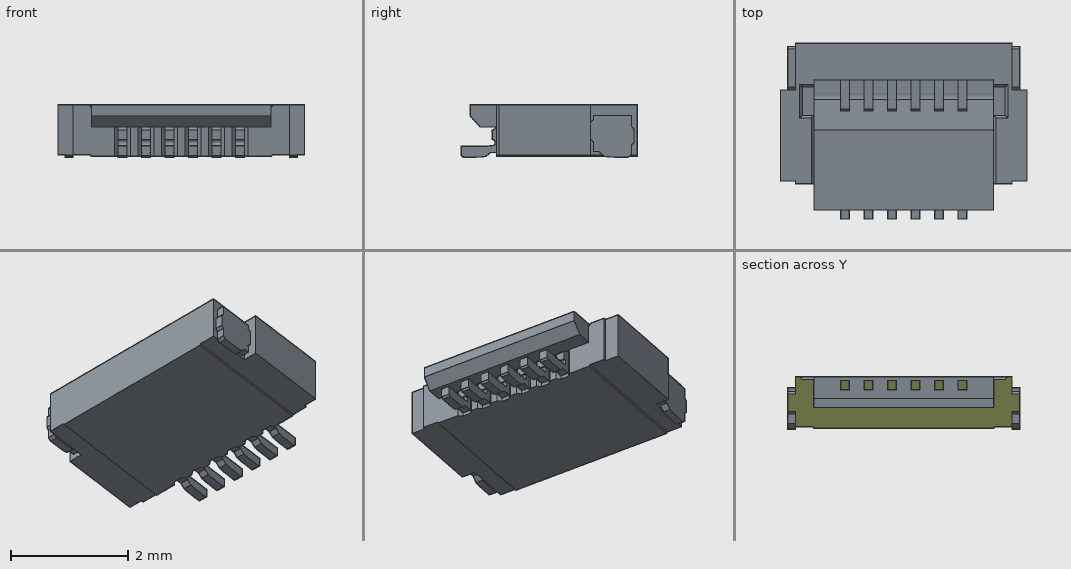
import cadquery as cq


overall_width = 4.2
overall_height = 0.9
overall_depth = 3.0
body_half_width = 1.845
body_depth = 2.4
body_bottom = 0.04
ear_start_depth = 0.8
ear_end_depth = 2.35
foot_bottom = 0.015
foot_half_width = 1.537
foot_flare = 0.015

flap_half_width = 1.53
flap_depth = 2.848
flap_thickness = 0.382
flap_nose_height = 0.195
flap_nose_run = 0.172
flap_slope_depth = 1.48
window_start_depth = 0.625
window_end_depth = 0.96
cavity_rear_depth = 0.335
cavity_ceiling = 0.53
cavity_floor = 0.38
flap_rear_edge = 0.77
flap_slope_top = 0.855
groove_start_depth = 0.86
groove_low_depth = 0.907
groove_drop = 0.005
groove_rise = 0.013

recess_half_width = 1.772
recess_start_depth = 0.705
recess_end_depth = 1.275
bevel = 0.045

contact_count = 6
contact_span = 2.0
contact_pitch = contact_span / (contact_count - 1)
contact_width = 0.15
contact_root_depth = 2.225
arm_top = 0.835
arm_thickness = 0.165
arm_end_depth = 1.16
arm_bevel = 0.038
nose_bevel_depth = 2.455
nose_depth = 2.475
nose_top = 0.465
nose_bottom = 0.302
neck_depth = 2.425
neck_height = 0.25
neck_end_depth = 2.445
neck_bottom = 0.205
tail_flat_start_depth = 2.57
tail_top = 0.195
tail_root_bottom = 0.085
tail_bend_start_depth = 2.495
tail_bend_end_depth = 2.58
tail_heel_depth = 2.68
tail_heel_height = 0.005
tip_radius = 0.03
slot_width = 0.277
slot_taper = 0.06

tab_half_span = 1.98
tab_rear_depth = 0.1
tab_front_depth = 0.748
tab_top = 0.715
tab_shoulder_height = 0.1
tab_shoulder_depth = 0.65
tab_foot_bevel_depth = 0.565
tab_sole_front_depth = 0.458
tab_sole_rear_depth = 0.16
tab_sole_rise = 0.005
front_barb_top = 0.643
front_barb_bottom = 0.265
front_barb_bevel = 0.04
rear_barb_top = 0.53
rear_barb_bottom = 0.21
rear_barb_bevel = 0.04

flap_bottom = overall_height - flap_thickness
contact_positions = [
    (i - (contact_count - 1) / 2) * contact_pitch for i in range(contact_count)
]


def block(x_min, x_max, start_depth, end_depth, z_min, z_max):
    """Box given by its X range, its depth range and its Z range."""
    size = (x_max - x_min, end_depth - start_depth, z_max - z_min)
    return cq.Workplane("XY").box(*size, centered=False).translate((x_min, -end_depth, z_min))


def side_sketch():
    """Workplane whose local x is +Y, local y is +Z and normal is +X."""
    return cq.Workplane("YZ")


def side_prism(points, x_min, x_max):
    """Extrude an outline of (depth, z) points along X."""
    outline = [(-depth, z) for depth, z in points]
    return side_sketch().polyline(outline).close().extrude(x_max - x_min).translate((x_min, 0, 0))


def make_housing():
    body = block(-body_half_width, body_half_width, 0, body_depth, body_bottom, overall_height)
    ears = block(-overall_width / 2, overall_width / 2, ear_start_depth, ear_end_depth,
                 body_bottom, overall_height)
    foot_outline = [
        (-foot_half_width, foot_bottom),
        (foot_half_width, foot_bottom),
        (foot_half_width + foot_flare, body_bottom),
        (-foot_half_width - foot_flare, body_bottom),
    ]
    foot = cq.Workplane("XZ").polyline(foot_outline).close().extrude(body_depth)
    return body.union(ears).union(foot)


def make_recesses():
    """Both side recesses as one pocket whose walls slope inwards at 45 degrees."""
    width = 2 * recess_half_width
    length = recess_end_depth - recess_start_depth
    middle_depth = (recess_start_depth + recess_end_depth) / 2
    return (
        cq.Workplane("XY", origin=(0, -middle_depth, overall_height))
        .rect(width, length)
        .workplane(offset=-bevel)
        .rect(width - 2 * bevel, length - 2 * bevel)
        .loft(ruled=True)
    )


def make_flap_bevels():
    """Sloped relief of the housing edges along both sides of the flap."""
    outline = [
        (-flap_half_width - bevel, overall_height),
        (flap_half_width + bevel, overall_height),
        (flap_half_width, overall_height - bevel),
        (-flap_half_width, overall_height - bevel),
    ]
    start_depth = recess_end_depth - bevel
    return (
        cq.Workplane("XZ", origin=(0, -start_depth, 0))
        .polyline(outline).close()
        .extrude(body_depth - start_depth)
    )


def make_flap():
    outline = [
        (window_end_depth, flap_bottom),
        (window_end_depth, flap_rear_edge),
        (flap_slope_depth, flap_slope_top),
        (flap_slope_depth, overall_height),
        (flap_depth, overall_height),
        (flap_depth, overall_height - flap_nose_height),
        (flap_depth - flap_nose_run, flap_bottom),
    ]
    return side_prism(outline, -flap_half_width, flap_half_width)


def make_window():
    """Opening behind the flap, its undercut below the rear wall and a shallow floor groove."""
    return (
        side_sketch()
        .moveTo(-window_start_depth, overall_height)
        .lineTo(-window_start_depth, cavity_ceiling)
        .lineTo(-cavity_rear_depth, cavity_ceiling)
        .lineTo(-cavity_rear_depth, cavity_floor)
        .lineTo(-groove_start_depth, cavity_floor)
        .threePointArc((-groove_low_depth, cavity_floor - groove_drop),
                       (-window_end_depth, cavity_floor + groove_rise))
        .lineTo(-window_end_depth, flap_rear_edge)
        .lineTo(-flap_slope_depth, flap_slope_top)
        .lineTo(-flap_slope_depth, overall_height)
        .close()
        .extrude(flap_half_width, both=True)
    )


def make_contact_slot():
    """Tapered notch in the housing front, narrowing to the contact width."""
    outline = [
        (-slot_width / 2, -body_depth),
        (slot_width / 2, -body_depth),
        (contact_width / 2, slot_taper - body_depth),
        (-contact_width / 2, slot_taper - body_depth),
    ]
    return cq.Workplane("XY").polyline(outline).close().extrude(flap_bottom)


def make_contact_arm():
    tip_top_depth = arm_end_depth - arm_bevel
    outline = [
        (window_start_depth, arm_top),
        (tip_top_depth, arm_top),
        (arm_end_depth, arm_top - arm_bevel),
        (arm_end_depth, arm_top - arm_thickness),
        (window_start_depth, arm_top - arm_thickness),
    ]
    return side_prism(outline, -contact_width / 2, contact_width / 2)


def make_contact_tail():
    """Blunt nose below the flap, a curved neck and the solder tail."""
    return (
        side_sketch()
        .moveTo(-contact_root_depth, flap_bottom)
        .lineTo(-body_depth, flap_bottom)
        .lineTo(-nose_bevel_depth, nose_top)
        .lineTo(-nose_depth, nose_top)
        .lineTo(-nose_depth, nose_bottom)
        .lineTo(-nose_bevel_depth, nose_bottom)
        .threePointArc((-neck_depth, neck_height), (-neck_end_depth, neck_bottom))
        .lineTo(-tail_flat_start_depth, tail_top)
        .lineTo(-overall_depth, tail_top)
        .lineTo(-overall_depth, tip_radius)
        .radiusArc((-overall_depth + tip_radius, 0), tip_radius)
        .lineTo(-tail_heel_depth, tail_heel_height)
        .lineTo(-tail_bend_end_depth, foot_bottom)
        .lineTo(-tail_bend_start_depth, tail_root_bottom)
        .lineTo(-contact_root_depth, tail_root_bottom)
        .close()
        .extrude(contact_width / 2, both=True)
    )


def make_solder_tab():
    """Plate on the +X side wall: a bevelled barb front and rear, and a foot reaching Z = 0."""
    outline = [
        (tab_rear_depth, tab_top),
        (tab_front_depth, tab_top),
        (tab_front_depth, front_barb_top),
        (ear_start_depth, front_barb_top - front_barb_bevel),
        (ear_start_depth, front_barb_bottom + front_barb_bevel),
        (tab_front_depth, front_barb_bottom),
        (tab_front_depth, tab_shoulder_height),
        (tab_shoulder_depth, tab_shoulder_height),
        (tab_foot_bevel_depth, foot_bottom),
        (tab_sole_front_depth, tab_sole_rise),
        (tab_sole_rear_depth, 0),
        (tab_rear_depth, body_bottom),
        (tab_rear_depth, rear_barb_bottom),
        (tab_rear_depth - rear_barb_bevel, rear_barb_bottom + rear_barb_bevel),
        (tab_rear_depth - rear_barb_bevel, rear_barb_top - rear_barb_bevel),
        (tab_rear_depth, rear_barb_top),
    ]
    return side_prism(outline, body_half_width, tab_half_span)


result = make_housing().cut(make_recesses()).cut(make_flap_bevels())
result = result.union(make_flap()).cut(make_window())

for x in contact_positions:
    result = result.cut(make_contact_slot().translate((x, 0, 0)))
for x in contact_positions:
    result = result.union(make_contact_arm().translate((x, 0, 0)))
    result = result.union(make_contact_tail().translate((x, 0, 0)))

right_tab = make_solder_tab()
result = result.union(right_tab).union(right_tab.mirror("YZ"))